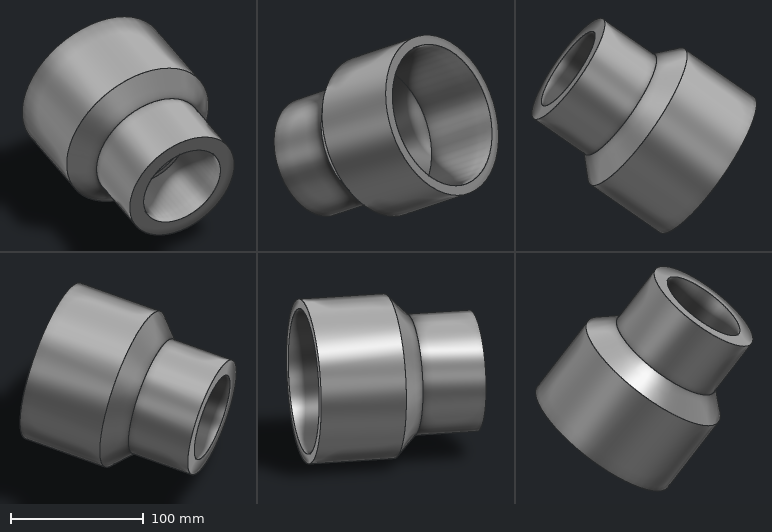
import cadquery as cq

total_length = 131.0
large_length = 65.8
taper_length = 16.4
large_bore_depth = 62.5
large_outer_diameter = 125.0
large_bore_diameter = 110.0
small_outer_diameter = 92.0
small_bore_diameter = 67.5

taper_end = large_length + taper_length


def stepped_round(large_diameter, small_diameter, taper_start):
    """Solid with a large cylinder, a conical taper and a small cylinder."""
    large_radius = large_diameter / 2
    small_radius = small_diameter / 2
    return (
        cq.Workplane("XY")
        .moveTo(0, 0)
        .lineTo(0, large_radius)
        .lineTo(taper_start, large_radius)
        .lineTo(taper_end, small_radius)
        .lineTo(total_length, small_radius)
        .lineTo(total_length, 0)
        .close()
        .revolve(360, (0, 0, 0), (1, 0, 0))
    )


body = stepped_round(large_outer_diameter, small_outer_diameter, large_length)
bore = stepped_round(large_bore_diameter, small_bore_diameter, large_bore_depth)
result = body.cut(bore)